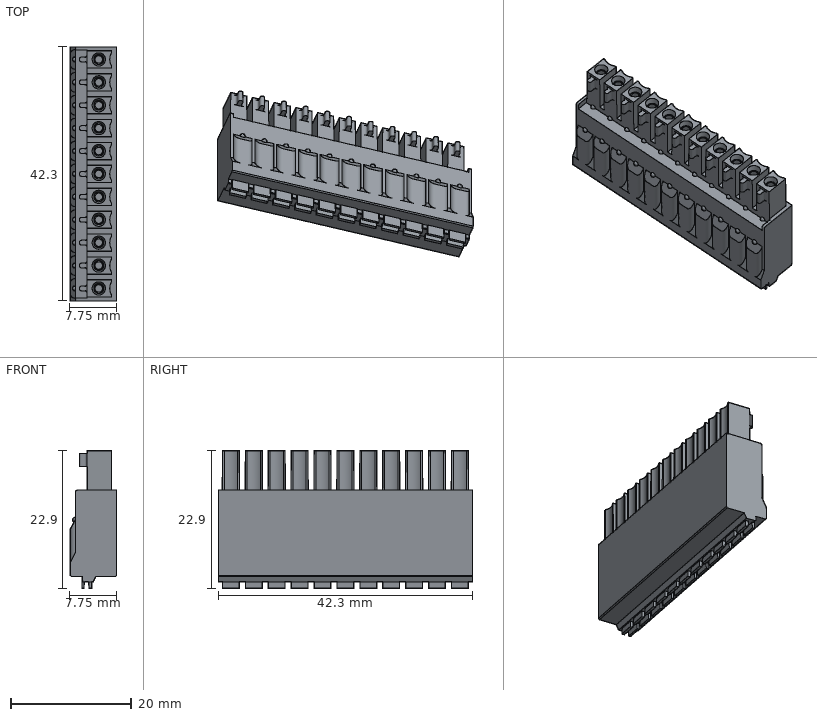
import cadquery as cq
import math

positions = 11
pitch = 3.81
contact_places = [(i - (positions - 1) / 2) * pitch for i in range(positions)]

overall_depth = 7.75
overall_height = 22.9
housing_length = 42.3
housing_bottom = 1.95
housing_top = 16.35
upper_front = 0.86
bottom_chamfer = 0.2
top_fillet = 0.4

ledge_floor = 15.3
ledge_end_wall = 0.5

tower_front = 2.83
tower_back = 6.92
tower_top_width = 2.82
tower_base_width = 2.9
scallop_width = 2.2
scallop_depth = 0.33

hole_x = 4.77
hole_top_diameter = 2.2
hole_floor_diameter = 1.65
hole_depth = 0.9
bore_diameter = 1.25
bore_depth = 2.0

key_front = 1.55
key_width = 0.8
key_radius = 0.38
key_bottom = 20.25
key_top = 22.45

rib_width = 3.27
rib_radius = 0.85
rib_slope_bottom = 9.82
rib_slope_top = 11.37
skirt_top = 4.23
skirt_slope_top = 5.91

bead_radius = 0.45

rail_bottom = 1.05
rail_recess = 0.1
block_chamfer = 0.13
rail_back_top = 4.3
rail_back_bottom = 3.85
leg_front = 1.95
leg_back = 3.63
leg_width = 2.82
leg_slot_left = 2.4
leg_slot_right = 3.05
leg_slot_taper = 0.1


def extrude_along_y(points, length, y_centre=0.0):
    """Extrude an XZ outline by a length centred on y_centre."""
    outline = cq.Workplane("XZ", origin=(0, y_centre, 0)).polyline(points).close()
    return outline.extrude(length / 2, both=True)


def box_between(x_range, y_range, z_range):
    """Box spanning the given (low, high) ranges."""
    x0, x1 = x_range
    y0, y1 = y_range
    z0, z1 = z_range
    return cq.Workplane("XY").box(x1 - x0, y1 - y0, z1 - z0, centered=False).translate((x0, y0, z0))


def make_housing():
    outline = [
        (0, housing_bottom),
        (overall_depth, housing_bottom),
        (overall_depth, housing_top),
        (upper_front, housing_top),
        (upper_front, skirt_slope_top),
        (0, skirt_top),
    ]
    housing = extrude_along_y(outline, housing_length)
    housing = housing.faces("<Z").edges("|Y").chamfer(bottom_chamfer)
    housing = housing.faces(">Z").edges("|Y and <X").fillet(top_fillet)
    ledge_half = housing_length / 2 - ledge_end_wall
    ledge = box_between((0, tower_front), (-ledge_half, ledge_half), (ledge_floor, overall_height))
    return housing.cut(ledge)


def make_tower(y):
    base = tower_base_width / 2
    top = tower_top_width / 2
    outline = [
        (y - base, housing_top),
        (y + base, housing_top),
        (y + top, overall_height),
        (y - top, overall_height),
    ]
    tower = cq.Workplane("YZ", origin=(tower_front, 0, 0)).polyline(outline).close()
    tower = tower.extrude(tower_back - tower_front)

    scallop_radius = (scallop_width ** 2 / 4 + scallop_depth ** 2) / (2 * scallop_depth)
    scallop_x = tower_back - scallop_depth + scallop_radius
    scallop = cq.Workplane("XY", origin=(scallop_x, y, housing_top)).circle(scallop_radius)
    return tower.cut(scallop.extrude(overall_height - housing_top))


def make_hole(y):
    top_plane = cq.Workplane("XY", origin=(hole_x, y, overall_height))
    hole = top_plane.circle(hole_top_diameter / 2).workplane(offset=-hole_depth)
    hole = hole.circle(hole_floor_diameter / 2).loft()
    bore = top_plane.circle(bore_diameter / 2).extrude(-bore_depth)
    return hole.union(bore)


def make_key(y):
    half = key_width / 2
    r = key_radius
    diagonal = r * math.sqrt(0.5)
    key = (
        cq.Workplane("XY", origin=(0, y, key_bottom))
        .moveTo(tower_front, -half - r)
        .threePointArc((tower_front - r + diagonal, -half - r + diagonal), (tower_front - r, -half))
        .lineTo(key_front + r, -half)
        .threePointArc((key_front + r - diagonal, -half + r - diagonal), (key_front, -half + r))
        .lineTo(key_front, half - r)
        .threePointArc((key_front + r - diagonal, half - r + diagonal), (key_front + r, half))
        .lineTo(tower_front - r, half)
        .threePointArc((tower_front - r + diagonal, half + r - diagonal), (tower_front, half + r))
        .close()
    )
    return key.extrude(key_top - key_bottom)


def make_rib(y):
    outline = [
        (0, housing_bottom + bottom_chamfer),
        (upper_front, housing_bottom + bottom_chamfer),
        (upper_front, rib_slope_top),
        (0, rib_slope_bottom),
    ]
    round_body = box_between(
        (0, upper_front),
        (y - rib_width / 2, y + rib_width / 2),
        (housing_bottom, rib_slope_top),
    )
    round_body = round_body.faces("<X").edges("|Z").fillet(rib_radius)
    return extrude_along_y(outline, rib_width, y).intersect(round_body)


def make_bead(x, y, z):
    return cq.Workplane("XY").sphere(bead_radius).translate((x, y, z))


def make_rail():
    """Rail along the housing, with a chamfered block on its front at every gap between the legs."""
    block_front = leg_front + rail_recess
    rail_front = block_front + block_chamfer
    rail_top = housing_bottom + bottom_chamfer
    outline = [
        (rail_front, rail_top),
        (rail_front, rail_bottom),
        (rail_back_bottom, rail_bottom),
        (rail_back_top, housing_bottom),
        (rail_back_top, rail_top),
    ]
    rail = extrude_along_y(outline, housing_length)
    half_gap = (pitch - leg_width) / 2
    for i in range(positions + 1):
        y = (i - positions / 2) * pitch
        block = box_between((block_front, leg_back), (y - half_gap, y + half_gap), (rail_bottom, rail_top))
        rail = rail.union(block.faces("<X").chamfer(block_chamfer))
    half_length = housing_length / 2
    return rail.intersect(box_between((0, overall_depth), (-half_length, half_length), (0, rail_top)))


def make_legs(y):
    outline = [
        (leg_front, housing_bottom + bottom_chamfer),
        (leg_front, 0),
        (leg_slot_left - leg_slot_taper, 0),
        (leg_slot_left, rail_bottom),
        (leg_slot_right, rail_bottom),
        (leg_slot_right + leg_slot_taper, 0),
        (leg_back, 0),
        (leg_back, housing_bottom + bottom_chamfer),
    ]
    return extrude_along_y(outline, leg_width, y)


result = make_housing().union(make_rail())
for y in contact_places:
    result = result.union(make_tower(y)).union(make_key(y)).union(make_rib(y)).union(make_legs(y))
    result = result.union(make_bead(upper_front, y, rib_slope_top))
    result = result.union(make_bead(tower_front, y, ledge_floor))
    result = result.cut(make_hole(y))